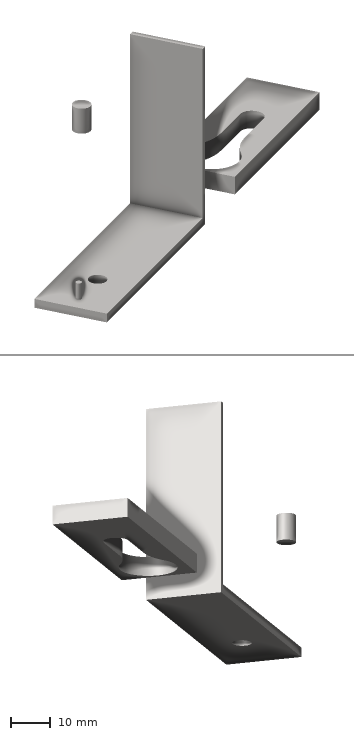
import cadquery as cq
import math

overall_length = 130.0
strip_width = 20.0

base_length = 60.0
base_thickness = 2.5
wall_thickness = 1.5
bracket_height = 50.0
peg_diameter = 1.5
peg_height = 4.5
peg_y = 5.0
hole_y = 16.5

pin_diameter = 5.0
pin_height = 7.0
pin_x = -40.0
pin_y = 95.5

plate_length = 51.7
plate_thickness = 5.0
plate_start_y = overall_length - plate_length
slot_radius = 3.2
bulb_radius = 7.4
flare_radius = 13.0
bulb_margin = 0.9
slot_center_distance = 24.0
bulb_y = plate_start_y + bulb_margin + bulb_radius
slot_end_y = bulb_y + slot_center_distance


def make_bracket():
    """Base and upright wall, with a pin hole and a small fixed peg."""
    base = cq.Workplane("XY").box(strip_width, base_length, base_thickness, centered=(True, False, False))
    wall = (
        cq.Workplane("XY")
        .box(strip_width, wall_thickness, bracket_height, centered=(True, False, False))
        .translate((0, base_length - wall_thickness, 0))
    )
    hole = cq.Workplane("XY").center(0, hole_y).circle(pin_diameter / 2).extrude(base_thickness)
    peg = (
        cq.Workplane("XY", origin=(0, peg_y, 0))
        .circle(peg_diameter / 2)
        .extrude(base_thickness + peg_height)
    )
    return base.union(wall).cut(hole).union(peg)


def make_keyhole():
    """Round bulb flaring tangentially into a narrow slot with a round end."""
    flare_center_x = slot_radius + flare_radius
    center_distance = bulb_radius + flare_radius
    flare_rise = math.sqrt(center_distance**2 - flare_center_x**2)
    flare_top_y = bulb_y + flare_rise

    contact_x = flare_center_x * bulb_radius / center_distance
    contact_y = bulb_y + flare_rise * bulb_radius / center_distance

    half_angle = math.atan2(flare_rise, flare_center_x) / 2
    middle_x = flare_center_x - flare_radius * math.cos(half_angle)
    middle_y = flare_top_y - flare_radius * math.sin(half_angle)

    return (
        cq.Workplane("XY")
        .moveTo(contact_x, contact_y)
        .threePointArc((middle_x, middle_y), (slot_radius, flare_top_y))
        .lineTo(slot_radius, slot_end_y)
        .threePointArc((0, slot_end_y + slot_radius), (-slot_radius, slot_end_y))
        .lineTo(-slot_radius, flare_top_y)
        .threePointArc((-middle_x, middle_y), (-contact_x, contact_y))
        .threePointArc((0, bulb_y - bulb_radius), (contact_x, contact_y))
        .close()
        .extrude(plate_thickness)
    )


def make_plate():
    """Flat plate with the keyhole passing right through it."""
    plate = (
        cq.Workplane("XY")
        .box(strip_width, plate_length, plate_thickness, centered=(True, False, False))
        .translate((0, plate_start_y, 0))
    )
    return plate.cut(make_keyhole())


def make_pin():
    """Plain cylindrical pin standing beside the plate."""
    return cq.Workplane("XY").center(pin_x, pin_y).circle(pin_diameter / 2).extrude(pin_height)


bracket = make_bracket()
plate = make_plate()
pin = make_pin()

result = cq.Compound.makeCompound([bracket.val(), plate.val(), pin.val()])